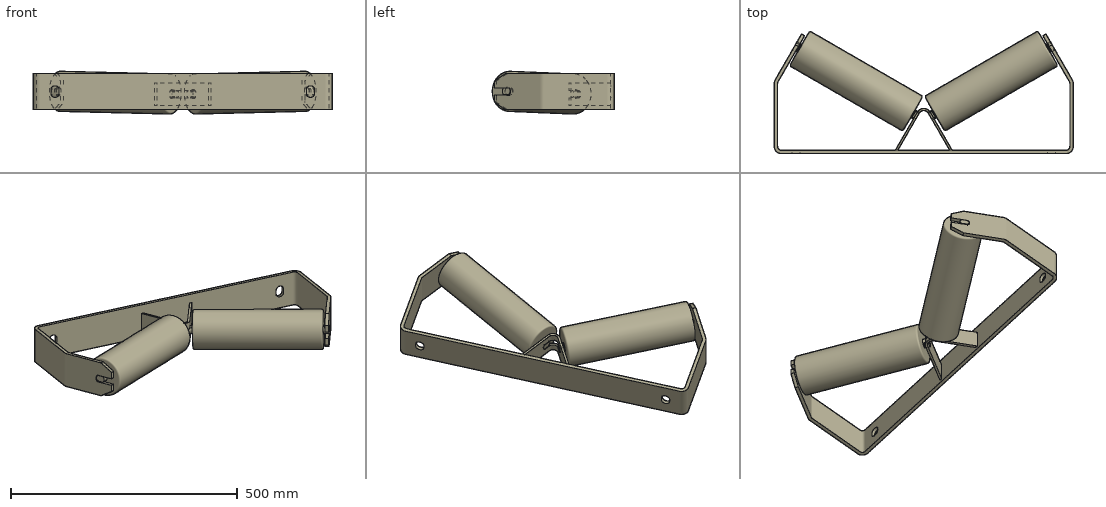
import cadquery as cq
import math

SLOPE = math.radians(30)
SIN = math.sin(SLOPE)
COS = math.cos(SLOPE)

frame_width = 660
frame_height = 80.0
frame_thickness = 8.0
frame_bend_radius = 16.0
side_wall_end = 155.0
arm_length = 117.0
arm_chamfer_length = 28.0
arm_chamfer_height = 16.5
mount_slot_width = 18.5
mount_slot_height = 26.0
mount_slot_inset = 48.0

roller_diameter = 89.0
roller_length = 288.0
roller_fillet = 4.0
roller_end_gap = 4.5
shaft_diameter = 20.0
shaft_flats = 14.0
shaft_shoulder = 2.5
shaft_slot_width = 16.0
shaft_slot_clearance = 1.0
shaft_from_arm_tip = 30.0
shaft_height = 0.5
roller_tilt = math.radians(1.2)

bracket_thickness = 5.0
bracket_height = 50.0
bracket_middle = -6.0
bracket_foot = 63.0
bracket_bend_radius = 16.5

half_width = frame_width / 2
bend_end_x = -half_width + frame_bend_radius * (1 - COS)
bend_end_y = side_wall_end + frame_bend_radius * SIN


def on_left_arm(along, inward):
    """Point at a distance along the left arm from its bend, and inward from its outer face."""
    return (bend_end_x + along * SIN + inward * COS, bend_end_y + along * COS - inward * SIN)


roller_end = on_left_arm(arm_length - shaft_from_arm_tip, frame_thickness + roller_end_gap)
apex_y = frame_thickness + bracket_foot / math.tan(SLOPE)
apex_to_shaft = -roller_end[0] * SIN + (apex_y - roller_end[1]) * COS
bracket_gap = -roller_end[0] * COS - (apex_y - roller_end[1]) * SIN - roller_length


def both_sides(shape):
    """The shape together with its mirror image across the YZ plane."""
    return shape.union(shape.mirror("YZ"), clean=True)


def make_left_frame_half():
    """Left half of the bent bar, seen along Z as a constant-thickness outline."""
    t = frame_thickness
    r = frame_bend_radius
    inner_r = r - t
    corner = (-half_width + r, r)
    bend = (-half_width + r, side_wall_end)

    def around(center, radius, angle):
        return (center[0] - radius * math.cos(angle), center[1] + radius * math.sin(angle))

    quarter_mid = -math.pi / 4
    return (
        cq.Workplane("XY", origin=(0, 0, -frame_height / 2))
        .moveTo(0, 0)
        .lineTo(corner[0], 0)
        .threePointArc(around(corner, r, quarter_mid), (-half_width, r))
        .lineTo(-half_width, side_wall_end)
        .threePointArc(around(bend, r, SLOPE / 2), on_left_arm(0, 0))
        .lineTo(*on_left_arm(arm_length, 0))
        .lineTo(*on_left_arm(arm_length, t))
        .lineTo(*on_left_arm(0, t))
        .threePointArc(around(bend, inner_r, SLOPE / 2), (-half_width + t, side_wall_end))
        .lineTo(-half_width + t, r)
        .threePointArc(around(corner, inner_r, quarter_mid), (corner[0], t))
        .lineTo(0, t)
        .close()
        .extrude(frame_height)
    )


def slope_plane(origin):
    """Plane on a left-hand leaning face: x runs down the slope, the normal points inward."""
    return cq.Plane(origin=origin, xDir=(-SIN, -COS, 0), normal=(COS, -SIN, 0))


def make_shaft_slot(plane, shaft_distance, depth):
    """Open slot along the plane's x, ending in an arc that seats a shaft at the given distance."""
    half = shaft_slot_width / 2
    radius = shaft_diameter / 2
    arc_start = shaft_distance + math.sqrt(radius**2 - half**2)
    return (
        cq.Workplane(plane)
        .moveTo(0, -half)
        .lineTo(arc_start, -half)
        .threePointArc((shaft_distance + radius, 0), (arc_start, half))
        .lineTo(0, half)
        .close()
        .extrude(depth)
    )


def make_arm_cuts():
    """Shaft slot and the two chamfered corners at the tip of the left arm."""
    plane = slope_plane((*on_left_arm(arm_length, 0), 0))
    cuts = make_shaft_slot(plane, shaft_from_arm_tip + shaft_slot_clearance, frame_thickness)
    top = frame_height / 2
    for side in (-1, 1):
        corner = (
            cq.Workplane(plane)
            .moveTo(0, side * top)
            .lineTo(arm_chamfer_length, side * top)
            .lineTo(0, side * (top - arm_chamfer_height))
            .close()
            .extrude(frame_thickness)
        )
        cuts = cuts.union(corner)
    return cuts


def make_mount_slots():
    """Upright slots through the long wall, near its ends."""
    slot_x = half_width - mount_slot_inset
    return (
        cq.Workplane("XZ")
        .pushPoints([(-slot_x, 0), (slot_x, 0)])
        .slot2D(mount_slot_height, mount_slot_width, 90)
        .extrude(-frame_thickness)
    )


def make_frame():
    left_half = make_left_frame_half().cut(make_arm_cuts())
    return both_sides(left_half).cut(make_mount_slots())


def make_bracket():
    """Bent strip standing on the frame's long wall, slotted across its apex."""
    t = bracket_thickness
    r = bracket_bend_radius
    foot_y = frame_thickness
    foot_inner = bracket_foot - t / COS
    center_y = apex_y - r / SIN

    def tangent(radius):
        return (radius * COS, center_y + radius * SIN)

    outer_x, outer_y = tangent(r)
    inner_x, inner_y = tangent(r - t)
    strip = (
        cq.Workplane("XY", origin=(0, 0, bracket_middle - bracket_height / 2))
        .moveTo(-bracket_foot, foot_y)
        .lineTo(-outer_x, outer_y)
        .threePointArc((0, center_y + r), (outer_x, outer_y))
        .lineTo(bracket_foot, foot_y)
        .lineTo(foot_inner, foot_y)
        .lineTo(inner_x, inner_y)
        .threePointArc((0, center_y + r - t), (-inner_x, inner_y))
        .lineTo(-foot_inner, foot_y)
        .close()
        .extrude(bracket_height)
    )
    apex_plane = slope_plane((0, apex_y, bracket_middle))
    slot = make_shaft_slot(apex_plane, apex_to_shaft, r)
    return strip.cut(both_sides(slot))


def make_left_roller():
    """Tilted roller with a shaft stub at each end, full round at the roller and flatted beyond."""
    axis_plane = cq.Plane(
        origin=(*roller_end, shaft_height),
        xDir=(-SIN, -COS, 0),
        normal=(COS * math.cos(roller_tilt), -SIN * math.cos(roller_tilt), -math.sin(roller_tilt)),
    )
    barrel = (
        cq.Workplane(axis_plane)
        .circle(roller_diameter / 2)
        .extrude(roller_length)
        .edges()
        .fillet(roller_fillet)
    )
    round_shaft = (
        cq.Workplane(axis_plane)
        .workplane(offset=-shaft_shoulder)
        .circle(shaft_diameter / 2)
        .extrude(roller_length + 2 * shaft_shoulder)
    )
    outer_stub = roller_end_gap + frame_thickness
    inner_stub = bracket_gap + bracket_thickness
    shaft_length = outer_stub + roller_length + inner_stub
    shaft_start = cq.Workplane(axis_plane).workplane(offset=-outer_stub)
    flat_shaft = (
        shaft_start.circle(shaft_diameter / 2)
        .extrude(shaft_length)
        .intersect(shaft_start.rect(shaft_diameter, shaft_flats).extrude(shaft_length))
    )
    return barrel.union(round_shaft).union(flat_shaft)


def make_roller_unit():
    """Bracket with both rollers fixed in its slots."""
    return make_bracket().union(both_sides(make_left_roller()))


frame = make_frame()
roller_unit = make_roller_unit()
result = cq.Compound.makeCompound([frame.solids().val(), roller_unit.solids().val()])